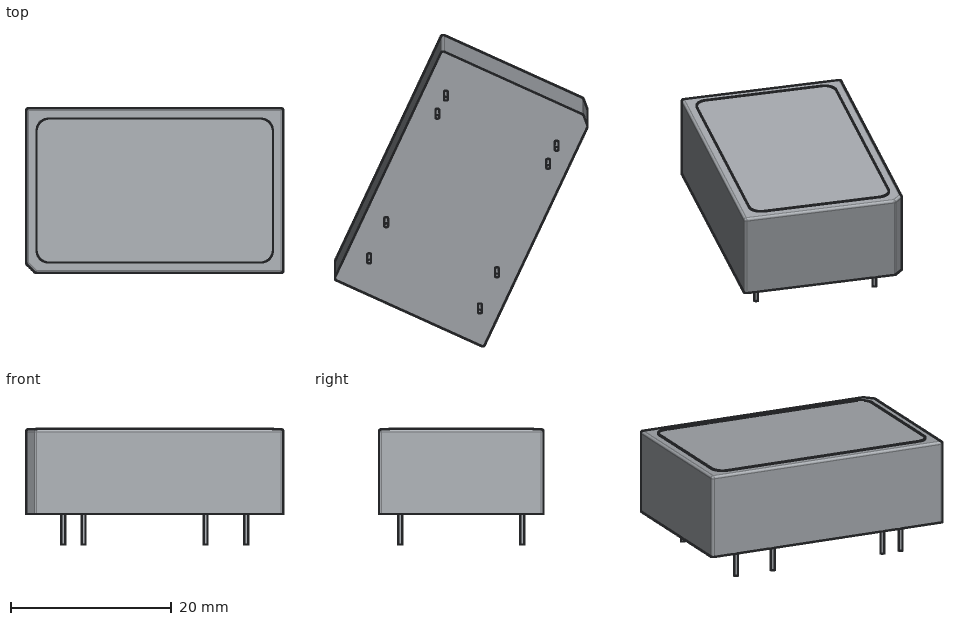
import cadquery as cq

CASE_LENGTH = 32.05
CASE_WIDTH = 20.55
CASE_HEIGHT = 10.58
CORNER_CUT = 1.15
EDGE_RADIUS = 0.32

LABEL_INSET = 1.3
LABEL_RADIUS = 1.5
LABEL_THICKNESS = 0.1

PIN_DIAMETER = 0.5
PIN_LENGTH = 3.8
PIN_PITCH = 2.53
PIN_ROW_SPACING = 6 * PIN_PITCH
PIN_GRID_STEPS = (-4.5, -3.5, 2.5, 4.5)


def make_case():
    """Block with a cut corner at -X, -Y and rounded upright and top edges."""
    case = cq.Workplane("XY").box(
        CASE_LENGTH, CASE_WIDTH, CASE_HEIGHT, centered=(True, True, False)
    )
    case = case.edges("|Z").edges("<X").edges("<Y").chamfer(CORNER_CUT)
    case = case.edges("|Z").fillet(EDGE_RADIUS)
    return case.faces(">Z").edges().fillet(EDGE_RADIUS)


def make_label():
    """Flat plate with rounded corners, set in evenly from the case sides."""
    return (
        cq.Workplane("XY")
        .workplane(offset=CASE_HEIGHT)
        .rect(CASE_LENGTH - 2 * LABEL_INSET, CASE_WIDTH - 2 * LABEL_INSET)
        .extrude(LABEL_THICKNESS)
        .edges("|Z")
        .fillet(LABEL_RADIUS)
    )


def make_pin(x, y):
    """Round pin hanging from the underside of the case."""
    return cq.Workplane("XY").center(x, y).circle(PIN_DIAMETER / 2).extrude(-PIN_LENGTH)


case = make_case()
label = make_label()

pins = []
for row_y in (-PIN_ROW_SPACING / 2, PIN_ROW_SPACING / 2):
    for step in PIN_GRID_STEPS:
        pins.append(make_pin(step * PIN_PITCH, row_y).val())

result = cq.Compound.makeCompound([case.val(), label.val(), *pins])